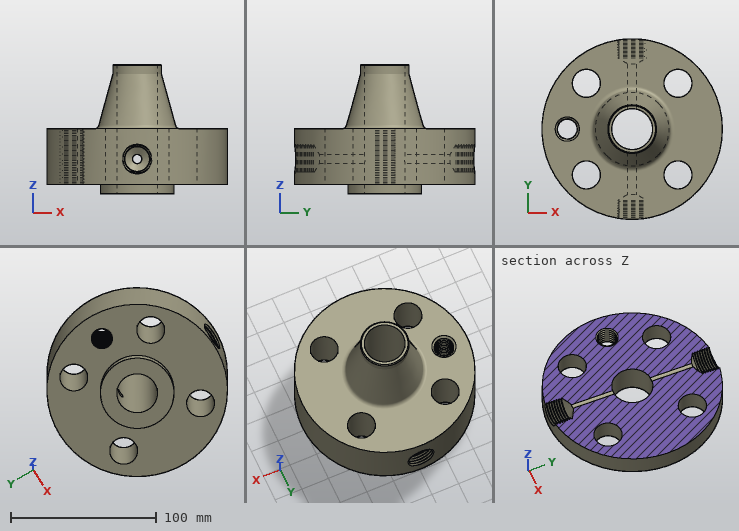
import cadquery as cq
import math

flange_diameter = 124.0
total_height = 88.9
raised_face_diameter = 50.6
raised_face_height = 6.3
flange_thickness = 38.4
flange_top = raised_face_height + flange_thickness

neck_diameter = 33.5
neck_length = 6.7
neck_chamfer = 0.7
hub_base_diameter = 54.0
hub_fillet = 3.0
bore_diameter = 27.9

bolt_count = 4
bolt_hole_diameter = 19.1
bolt_circle_diameter = 88.9
first_bolt_angle = 45.0

jack_screw_x = -44.5
jack_screw_root_diameter = 16.6
jack_screw_crest_diameter = 13.4
jack_screw_pitch = 2.3

port_height = 23.9
port_root_diameter = 20.5
port_crest_diameter = 17.7
port_pitch = 1.81
port_thread_turns = 9
port_thread_lead = 1.4
port_taper = 1 / 16
port_point_angle = 118.0
port_drill_diameter = 6.2


def threaded_hole_profile(root_diameter, crest_diameter, pitch, turns, taper=0.0):
    """Half outline of a hole with ring-shaped V grooves: (radius, depth) points from the mouth inward."""
    points = []
    for turn in range(turns):
        root_depth = turn * pitch
        crest_depth = root_depth + pitch / 2
        points.append(((root_diameter - taper * root_depth) / 2, root_depth))
        points.append(((crest_diameter - taper * crest_depth) / 2, crest_depth))
    return points


def make_body():
    """Raised face, flange, tapered hub and neck, revolved about Z."""
    neck_radius = neck_diameter / 2
    flange_radius = flange_diameter / 2
    raised_face_radius = raised_face_diameter / 2
    body = (
        cq.Workplane("XZ")
        .moveTo(0, 0)
        .lineTo(raised_face_radius, 0)
        .lineTo(raised_face_radius, raised_face_height)
        .lineTo(flange_radius, raised_face_height)
        .lineTo(flange_radius, flange_top)
        .lineTo(hub_base_diameter / 2, flange_top)
        .lineTo(neck_radius, total_height - neck_length)
        .lineTo(neck_radius, total_height)
        .lineTo(0, total_height)
        .close()
        .revolve(360, (0, 0, 0), (0, 1, 0))
    )
    body = body.faces(">Z").edges().chamfer(neck_chamfer)
    box_half = (hub_base_diameter + flange_diameter) / 4
    hub_base = cq.selectors.BoxSelector(
        (-box_half, -box_half, flange_top - hub_fillet),
        (box_half, box_half, flange_top + hub_fillet),
        boundingbox=True,
    )
    return body.edges(hub_base).fillet(hub_fillet)


def make_bore():
    return cq.Workplane("XY").circle(bore_diameter / 2).extrude(total_height)


def make_bolt_holes():
    return (
        cq.Workplane("XY")
        .polarArray(bolt_circle_diameter / 2, first_bolt_angle, 360, bolt_count)
        .circle(bolt_hole_diameter / 2)
        .extrude(flange_top)
    )


def make_jack_screw_hole():
    """Threaded hole running down from the top of the flange and out of its underside."""
    turns = math.ceil(flange_thickness / jack_screw_pitch) + 1
    outline = threaded_hole_profile(jack_screw_root_diameter, jack_screw_crest_diameter, jack_screw_pitch, turns)
    end_depth = outline[-1][1]
    points = [(0, 0)] + outline + [(0, end_depth)]
    return (
        cq.Workplane("XZ")
        .polyline([(radius, -depth) for radius, depth in points])
        .close()
        .revolve(360, (0, 0, 0), (0, 1, 0))
        .translate((jack_screw_x, 0, flange_top))
    )


def make_port():
    """Tapered thread from the -Y rim, a drill point, then a narrow drilling into the bore."""
    outline = threaded_hole_profile(
        port_root_diameter, port_crest_diameter, port_pitch, port_thread_turns, port_taper
    )
    end_radius, end_depth = outline[-1]
    drill_radius = port_drill_diameter / 2
    point_length = (end_radius - drill_radius) / math.tan(math.radians(port_point_angle / 2))
    point_depth = end_depth + point_length
    thread_start = flange_diameter / 2 + port_thread_lead
    points = [(0, 0)] + outline + [(drill_radius, point_depth), (drill_radius, thread_start), (0, thread_start)]
    return (
        cq.Workplane("XY")
        .polyline([(radius, depth - thread_start) for radius, depth in points])
        .close()
        .revolve(360, (0, 0, 0), (0, 1, 0))
        .translate((0, 0, port_height))
    )


result = make_body().cut(make_bore()).cut(make_bolt_holes()).cut(make_jack_screw_hole())
port = make_port()
for port_angle in (0, 180):
    result = result.cut(port.rotate((0, 0, 0), (0, 0, 1), port_angle))